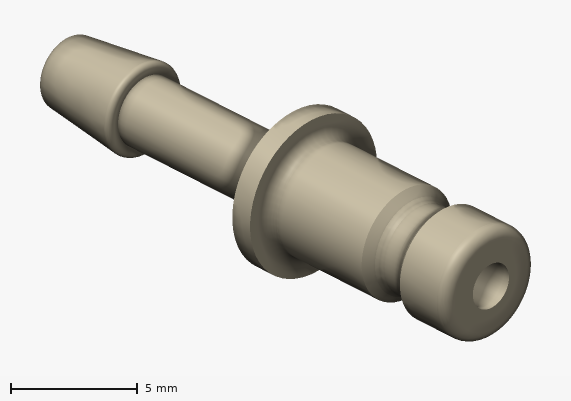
import cadquery as cq

LENGTH = 24.0
BORE_DIAMETER = 2.0

BARB_LENGTH = 4.5
BARB_TIP_DIAMETER = 3.17
BARB_REAR_DIAMETER = 4.18
BARB_ROUND = 0.25

STEM_DIAMETER = 3.1
FLANGE_DIAMETER = 7.0
FLANGE_START = 12.95
FLANGE_THICKNESS = 1.0
BODY_DIAMETER = 5.0
BLEND_RADIUS = 0.5

GROOVE_DIAMETER = 3.95
GROOVE_START = 19.25
GROOVE_TOP_WIDTH = 2.15

flange_end = FLANGE_START + FLANGE_THICKNESS
groove_depth = (BODY_DIAMETER - GROOVE_DIAMETER) / 2
groove_end = GROOVE_START + GROOVE_TOP_WIDTH
groove_floor_start = GROOVE_START + groove_depth
groove_floor_end = groove_end - groove_depth


def revolve_outline(points):
    """Turn a closed (x, radius) outline about the X axis."""
    return cq.Workplane("XY").polyline(points).close().revolve(360, (0, 0, 0), (1, 0, 0))


def cylinder(diameter, start, end):
    return cq.Workplane("YZ", origin=(start, 0, 0)).circle(diameter / 2).extrude(end - start)


def round_circles(solid, rim_circles, radius):
    """Round the circular edges given as (x, diameter) pairs."""
    tolerance = 0.002

    def is_chosen(edge):
        x = edge.Center().x
        diameter = 2 * edge.radius()
        return any(
            abs(x - rim_x) < tolerance and abs(diameter - rim_diameter) < tolerance
            for rim_x, rim_diameter in rim_circles
        )

    chosen = [edge for edge in solid.edges("%CIRCLE").vals() if is_chosen(edge)]
    return solid.newObject(chosen).fillet(radius)


outer = revolve_outline([
    (0, 0),
    (0, BARB_TIP_DIAMETER / 2),
    (BARB_LENGTH, BARB_REAR_DIAMETER / 2),
    (BARB_LENGTH, STEM_DIAMETER / 2),
    (FLANGE_START, STEM_DIAMETER / 2),
    (FLANGE_START, FLANGE_DIAMETER / 2),
    (flange_end, FLANGE_DIAMETER / 2),
    (flange_end, BODY_DIAMETER / 2),
    (GROOVE_START, BODY_DIAMETER / 2),
    (groove_floor_start, GROOVE_DIAMETER / 2),
    (groove_floor_end, GROOVE_DIAMETER / 2),
    (groove_end, BODY_DIAMETER / 2),
    (LENGTH, BODY_DIAMETER / 2),
    (LENGTH, 0),
])

barb_rims = [(0, BARB_TIP_DIAMETER), (BARB_LENGTH, BARB_REAR_DIAMETER)]
outer = round_circles(outer, barb_rims, BARB_ROUND)

blended_circles = [
    (FLANGE_START, STEM_DIAMETER),
    (flange_end, BODY_DIAMETER),
    (groove_floor_start, GROOVE_DIAMETER),
    (groove_floor_end, GROOVE_DIAMETER),
    (LENGTH, BODY_DIAMETER),
]
outer = round_circles(outer, blended_circles, BLEND_RADIUS)

result = outer.cut(cylinder(BORE_DIAMETER, 0, LENGTH))